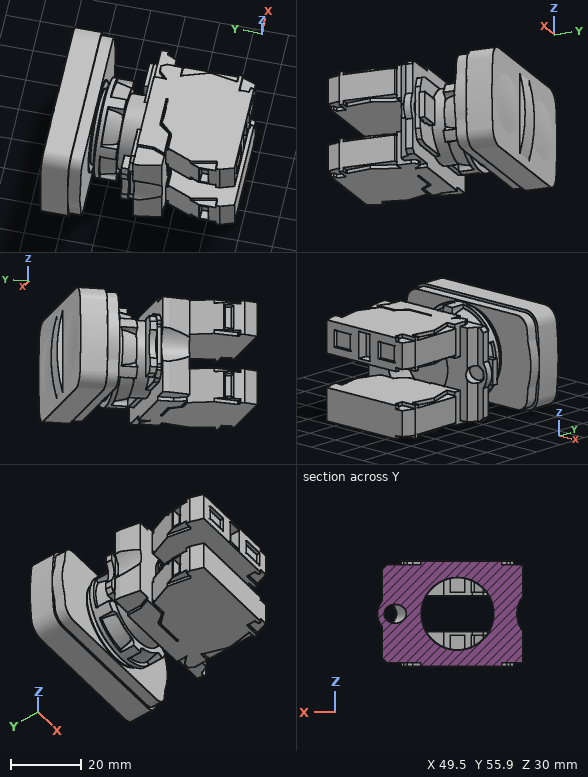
import cadquery as cq
import math


CROWN_TOP = 55.9
HEAD_FRONT = 54.3
BEZEL_REAR = 46.35
HEAD_REAR = 42.75
SEAL_REAR = 42.55
WASHER_FRONT = 41.4
NUT_FRONT = 40.8
NUT_FLANGE_REAR = 39.4
NUT_REAR = 34.75
LEVER_FRONT = 32.3
COLLAR_FRONT = 30.25
BASE_FRONT = 28.7
BASE_FLANGE_REAR = 26.5
BASE_TAPER_FRONT = 26.85
BASE_STEP = 23.7
BASE_REAR = 20.5

HEAD_HALF_X = 24.75
BEZEL_HALF_Z = 14.8
BEZEL_CORNER_X = 23.55
BEZEL_CORNER_R = 4.75
REAR_HALF_Z = 14.05
REAR_CORNER_X = 23.0
REAR_ARC_X = 23.7
REAR_ARC_Z = 6.8
REAR_CORNER_R = 4.1
BUTTON_D = 17.0
BUTTON_RISE = 0.5
BUTTON_X = 13.15
CROWN_WIDTH = 7.05
CROWN_HALF_Z = 11.95

NECK_D = 22.0
SEAL_D = 26.8
WASHER_D = 25.0
NUT_D = 29.0
NUT_POCKET_FRONT_D = 26.8
NUT_POCKET_REAR_D = 25.0
LUG_COUNT = 6
LUG_HALF_WIDTH = 1.7
LUG_ROOT_R = 12.2
LUG_ROOT_FILLET = 1.3

COLLAR_HALF_Z = 10.0
COLLAR_LEFT = -16.5
COLLAR_RIGHT = 19.4
COLLAR_CORNER_LEFT = -17.2
NOSE_LEFT = -16.95
NOSE_HALF_Z = 5.4
NOTCH_HALF_Z = 6.25
NOSE_FRONT = 29.85
LEVER_HALF_Z = 8.4
LEVER_LEFT = -18.1
LEVER_LEFT_INNER = -12.95
LEVER_CHAMFER_X = 0.9
LEVER_CHAMFER_Z = 1.75
TAB_INNER = 13.6
TAB_OUTER = 21.4
TAB_HALF_Z = 3.8
TAB_REAR = 30.65
TAB_PAD_X = (15.75, 18.3)

HALF_Z = 30.0 / 2
SKIN = 1.05
BASE_LEFT = -18.65
BASE_RIGHT = 21.4
BULGE_RIGHT = 22.8
BULGE_HALF_Z = 3.8
BASE_CORNER = 1.3
MIDDLE_LEFT = -12.65
MIDDLE_RIGHT = 10.45
BORE_D = 20.5
GRIP_R = 7.8
GRIP_X = -24.75
SCREW_D = 5.2
SCREW_TILT = 33.0
SCREW_X = 17.2
RAMP_START = (-7.25, BASE_REAR)
RAMP_END = (-4.8, BASE_STEP)

BLOCK_LEFT = -16.0
BLOCK_RIGHT = -BLOCK_LEFT
BLOCK_LEFT_SHOULDER = 10.2
BLOCK_SHOULDER = 4.0
LATCH_RIGHT = 15.2
LATCH_REAR = 21.3
RELIEF_REAR = 5.2
BLOCK_INNER_Z = 5.05
BLOCK_CENTER_Z = (HALF_Z + BLOCK_INNER_Z) / 2
SLOT_INNER_X = 2.1
SLOT_OUTER_X = 3.95
SLOT_HEIGHT = 0.45
GAP = 0.6
GROOVE_LEFT = -12.3
CORNER_RELIEF_LEFT = 11.0
SIDE_POCKET = (2.45, 6.8)
SIDE_POCKET_Y = 8.55
SIDE_POCKET_DEPTH = 2.8
END_POCKET = (6.25, 5.05)
END_POCKET_X = 8.55
END_POCKET_DEPTH = 1.05
MIDDLE_POCKET = (4.25, 8.0)
MIDDLE_POCKET_DEPTH = 3.15


def from_y(y):
    """XZ sketch plane at the given station; a negative extrusion runs toward +Y."""
    return cq.Workplane("XZ", origin=(0, y, 0))


def disc(diameter, y_rear, y_front):
    return from_y(y_rear).circle(diameter / 2).extrude(y_rear - y_front)


def prism_y(points, y_rear, y_front):
    """Prism along Y from (x, z) points."""
    return from_y(y_rear).polyline(points).close().extrude(y_rear - y_front)


def prism_z(points, z_low, z_high):
    """Prism along Z from (x, y) points."""
    return cq.Workplane("XY", origin=(0, 0, z_low)).polyline(points).close().extrude(z_high - z_low)


def box(x_range, y_range, z_range):
    size = [high - low for low, high in (x_range, y_range, z_range)]
    return cq.Workplane("XY").box(*size, centered=False).translate((x_range[0], y_range[0], z_range[0]))


def make_head():
    bezel = (
        from_y(BEZEL_REAR)
        .moveTo(-BEZEL_CORNER_X, BEZEL_HALF_Z)
        .lineTo(BEZEL_CORNER_X, BEZEL_HALF_Z)
        .threePointArc((HEAD_HALF_X, 0), (BEZEL_CORNER_X, -BEZEL_HALF_Z))
        .lineTo(-BEZEL_CORNER_X, -BEZEL_HALF_Z)
        .threePointArc((-HEAD_HALF_X, 0), (-BEZEL_CORNER_X, BEZEL_HALF_Z))
        .close()
        .extrude(BEZEL_REAR - HEAD_FRONT)
        .edges("|Y")
        .fillet(BEZEL_CORNER_R)
    )
    rear = (
        from_y(HEAD_REAR)
        .moveTo(-REAR_CORNER_X, REAR_HALF_Z)
        .lineTo(REAR_CORNER_X, REAR_HALF_Z)
        .lineTo(REAR_ARC_X, REAR_ARC_Z)
        .threePointArc((HEAD_HALF_X, 0), (REAR_ARC_X, -REAR_ARC_Z))
        .lineTo(REAR_CORNER_X, -REAR_HALF_Z)
        .lineTo(-REAR_CORNER_X, -REAR_HALF_Z)
        .lineTo(-REAR_ARC_X, -REAR_ARC_Z)
        .threePointArc((-HEAD_HALF_X, 0), (-REAR_ARC_X, REAR_ARC_Z))
        .close()
        .extrude(HEAD_REAR - BEZEL_REAR)
        .edges("|Y and (>Z or <Z)")
        .fillet(REAR_CORNER_R)
    )
    crown = (
        cq.Workplane("YZ")
        .moveTo(HEAD_FRONT, -CROWN_HALF_Z)
        .threePointArc((CROWN_TOP, 0), (HEAD_FRONT, CROWN_HALF_Z))
        .close()
        .extrude(CROWN_WIDTH / 2, both=True)
    )
    head = bezel.union(rear).union(crown)
    for side in (-1, 1):
        head = head.union(make_button().translate((side * BUTTON_X, 0, 0)))
    return head


def make_button():
    """Shallow spherical cap standing on the head front."""
    radius = BUTTON_D / 2
    sphere_r = (radius ** 2 + BUTTON_RISE ** 2) / (2 * BUTTON_RISE)
    half_angle = math.asin(radius / sphere_r) / 2
    top = HEAD_FRONT + BUTTON_RISE
    middle = (sphere_r * math.sin(half_angle), top - sphere_r * (1 - math.cos(half_angle)))
    return (
        cq.Workplane("XY")
        .moveTo(0, HEAD_FRONT)
        .lineTo(radius, HEAD_FRONT)
        .threePointArc(middle, (0, top))
        .close()
        .revolve(360, (0, 0, 0), (0, 1, 0))
    )


def make_neck():
    neck = disc(NECK_D, BASE_FRONT, HEAD_REAR)
    seal = disc(SEAL_D, SEAL_REAR, HEAD_REAR)
    washer = disc(WASHER_D, NUT_FRONT, WASHER_FRONT)
    return neck.union(seal).union(washer)


def make_nut():
    """Flanged ring nut with a tapered body and lugs that flare at their roots."""
    cone = (
        cq.Workplane("YZ")
        .polyline([
            (NUT_REAR, 0),
            (NUT_REAR, NUT_POCKET_REAR_D / 2),
            (NUT_FLANGE_REAR, NUT_POCKET_FRONT_D / 2),
            (NUT_FLANGE_REAR, 0),
        ])
        .close()
        .revolve(360, (0, 0, 0), (1, 0, 0))
    )
    nut = disc(NUT_D, NUT_FLANGE_REAR, NUT_FRONT).union(cone)

    fillet_start = (LUG_HALF_WIDTH, LUG_ROOT_R + LUG_ROOT_FILLET)
    fillet_end = (LUG_HALF_WIDTH + LUG_ROOT_FILLET, LUG_ROOT_R)
    fillet_offset = LUG_ROOT_FILLET * (1 - math.sqrt(0.5))
    fillet_middle = (LUG_HALF_WIDTH + fillet_offset, LUG_ROOT_R + fillet_offset)
    half_lug = (
        from_y(NUT_REAR)
        .lineTo(0, NUT_D / 2)
        .lineTo(LUG_HALF_WIDTH, NUT_D / 2)
        .lineTo(*fillet_start)
        .threePointArc(fillet_middle, fillet_end)
        .lineTo(fillet_end[0], 0)
        .close()
        .extrude(NUT_REAR - NUT_FLANGE_REAR)
    )
    lug = half_lug.union(half_lug.mirror("YZ")).intersect(disc(NUT_D, NUT_REAR, NUT_FLANGE_REAR))
    for index in range(LUG_COUNT):
        nut = nut.union(lug.rotate((0, 0, 0), (0, 1, 0), index * 360 / LUG_COUNT))
    return nut


def grip_cutter():
    """Cylinder along Y that scallops the left edge of the base and lever."""
    length = LEVER_FRONT - BASE_REAR
    return cq.Workplane("XZ", origin=(GRIP_X, BASE_REAR, 0)).circle(GRIP_R).extrude(-length)


def make_collar():
    """Locking plate around the neck with notched left corners and a lower left nose."""
    upper_left = [
        (COLLAR_LEFT, NOTCH_HALF_Z),
        (COLLAR_CORNER_LEFT, 7.25),
        (-15.5, 9.2),
        (-13.65, COLLAR_HALF_Z),
    ]
    upper_right = [(15.75, COLLAR_HALF_Z), (18.3, 9.2), (COLLAR_RIGHT, 6.25)]
    upper = upper_left + upper_right
    lower = [(x, -z) for x, z in reversed(upper)]
    plate = prism_y(upper + lower, BASE_FRONT, COLLAR_FRONT)
    nose_points = [
        (COLLAR_LEFT, NOTCH_HALF_Z),
        (COLLAR_LEFT, -NOTCH_HALF_Z),
        (NOSE_LEFT, -NOSE_HALF_Z),
        (NOSE_LEFT, NOSE_HALF_Z),
    ]
    nose = prism_y(nose_points, BASE_FRONT, NOSE_FRONT)
    return plate.union(nose)


def make_levers():
    upper = [
        (LEVER_LEFT, LEVER_HALF_Z - LEVER_CHAMFER_Z),
        (LEVER_LEFT + LEVER_CHAMFER_X, LEVER_HALF_Z),
        (LEVER_LEFT_INNER, LEVER_HALF_Z),
    ]
    lower = [(x, -z) for x, z in reversed(upper)]
    lever = prism_y(upper + lower, COLLAR_FRONT, LEVER_FRONT).cut(grip_cutter())

    z_range = (-TAB_HALF_Z, TAB_HALF_Z)
    tab = box((TAB_INNER, TAB_OUTER), (TAB_REAR, LEVER_FRONT), z_range)
    pad = box(TAB_PAD_X, (COLLAR_FRONT, TAB_REAR), z_range)
    return lever.union(tab).union(pad)


def make_base():
    side_profile = [
        (BASE_LEFT, BASE_FRONT),
        (BASE_LEFT, BASE_TAPER_FRONT),
        (-17.45, BASE_REAR),
        RAMP_START,
        RAMP_END,
        (17.9, BASE_STEP),
        (19.3, BASE_FLANGE_REAR),
        (BULGE_RIGHT, BASE_FLANGE_REAR),
        (BULGE_RIGHT, BASE_FRONT),
    ]
    inner_half_z = HALF_Z - SKIN
    plan = (
        from_y(BASE_REAR)
        .moveTo(BASE_LEFT, inner_half_z)
        .lineTo(BASE_RIGHT - BASE_CORNER, inner_half_z)
        .lineTo(BASE_RIGHT, inner_half_z - BASE_CORNER)
        .lineTo(BASE_RIGHT, BULGE_HALF_Z)
        .threePointArc((BULGE_RIGHT, 0), (BASE_RIGHT, -BULGE_HALF_Z))
        .lineTo(BASE_RIGHT, -inner_half_z + BASE_CORNER)
        .lineTo(BASE_RIGHT - BASE_CORNER, -inner_half_z)
        .lineTo(BASE_LEFT, -inner_half_z)
        .close()
        .extrude(BASE_REAR - BASE_FRONT)
    )
    middle_profile = [
        (MIDDLE_LEFT, BASE_FRONT),
        (MIDDLE_LEFT, 24.0),
        (-14.05, BASE_REAR),
        RAMP_START,
        RAMP_END,
        (MIDDLE_RIGHT, BASE_STEP),
        (MIDDLE_RIGHT, BASE_FRONT),
    ]
    base = prism_z(side_profile, -HALF_Z, HALF_Z).intersect(plan)
    base = base.union(prism_z(middle_profile, -HALF_Z, HALF_Z))
    return base.cut(disc(BORE_D, BASE_REAR, BASE_FRONT)).cut(screw_cutter()).cut(grip_cutter())


def screw_cutter():
    """Inclined cylinder through the right flange, leaning toward the centre at the front."""
    length = 22.35
    return (
        from_y(-length / 2)
        .circle(SCREW_D / 2)
        .extrude(-length)
        .rotate((0, 0, 0), (0, 0, 1), SCREW_TILT)
        .translate((SCREW_X, BASE_FRONT, 0))
    )


def make_block():
    """Upper contact block; its terminal end faces -Y."""
    outline = [
        (-14.65, 0),
        (14.65, 0),
        (BLOCK_RIGHT, BLOCK_SHOULDER),
        (BLOCK_RIGHT, 20.95),
        (LATCH_RIGHT, LATCH_REAR),
        (LATCH_RIGHT, 25.75),
        (14.3, 27.45),
        (12.7, 27.45),
        (MIDDLE_RIGHT, 25.15),
        (MIDDLE_RIGHT, BASE_STEP),
        RAMP_END,
        RAMP_START,
        (-11.85, BASE_REAR),
        (BLOCK_LEFT, BLOCK_LEFT_SHOULDER),
        (BLOCK_LEFT, BLOCK_SHOULDER),
    ]
    block = prism_z(outline, BLOCK_INNER_Z, HALF_Z)

    left_relief = [
        (BLOCK_LEFT, BLOCK_LEFT_SHOULDER),
        (-15.0, 12.8),
        (-13.6, 5.5),
        (-13.85, RELIEF_REAR),
        (BLOCK_LEFT, RELIEF_REAR),
    ]
    right_relief = [
        (BLOCK_RIGHT, LATCH_REAR),
        (12.3, LATCH_REAR),
        (15.0, 13.1),
        (13.7, 5.5),
        (14.0, RELIEF_REAR),
        (BLOCK_RIGHT, RELIEF_REAR),
    ]
    corner_relief = [
        (BLOCK_RIGHT, BLOCK_SHOULDER),
        (CORNER_RELIEF_LEFT, BLOCK_SHOULDER),
        (CORNER_RELIEF_LEFT, 1.25),
        (12.45, 0.9),
        (12.2, 0),
        (BLOCK_RIGHT, 0),
    ]
    slot_rear = BASE_STEP - SLOT_HEIGHT
    gap_groove = [
        (GROOVE_LEFT, BASE_REAR),
        RAMP_START,
        RAMP_END,
        (SLOT_OUTER_X, BASE_STEP),
        (SLOT_OUTER_X, slot_rear),
        (RAMP_END[0] + GAP, slot_rear),
        (RAMP_START[0], BASE_REAR - GAP),
        (GROOVE_LEFT, BASE_REAR - GAP),
    ]
    for profile in (left_relief, right_relief, corner_relief, gap_groove):
        block = block.cut(prism_z(profile, HALF_Z - SKIN, HALF_Z))
        block = block.cut(prism_z(profile, BLOCK_INNER_Z, BLOCK_INNER_Z + SKIN))

    for low, high in ((-SLOT_OUTER_X, -SLOT_INNER_X), (SLOT_INNER_X, SLOT_OUTER_X)):
        block = block.cut(box((low, high), (slot_rear, BASE_STEP), (BLOCK_INNER_Z, HALF_Z)))

    side_pocket = cq.Workplane("XY").box(SIDE_POCKET_DEPTH, *SIDE_POCKET)
    side_pocket_x = BLOCK_LEFT + SIDE_POCKET_DEPTH / 2
    return block.cut(side_pocket.translate((side_pocket_x, SIDE_POCKET_Y, BLOCK_CENTER_Z)))


def cut_end_pockets(block):
    """Two terminal windows and a deeper middle window in the rear face."""
    pockets = (
        (-END_POCKET_X, END_POCKET, END_POCKET_DEPTH),
        (0, MIDDLE_POCKET, MIDDLE_POCKET_DEPTH),
        (END_POCKET_X, END_POCKET, END_POCKET_DEPTH),
    )
    for x, size, depth in pockets:
        block = block.cut(from_y(0).center(x, BLOCK_CENTER_Z).rect(*size).extrude(-depth))
    return block


plain_block = make_block()
upper_block = cut_end_pockets(plain_block)
lower_block = plain_block.mirror("XY")

result = make_head()
for piece in (make_neck(), make_nut(), make_collar(), make_levers(), make_base(), upper_block, lower_block):
    result = result.union(piece)